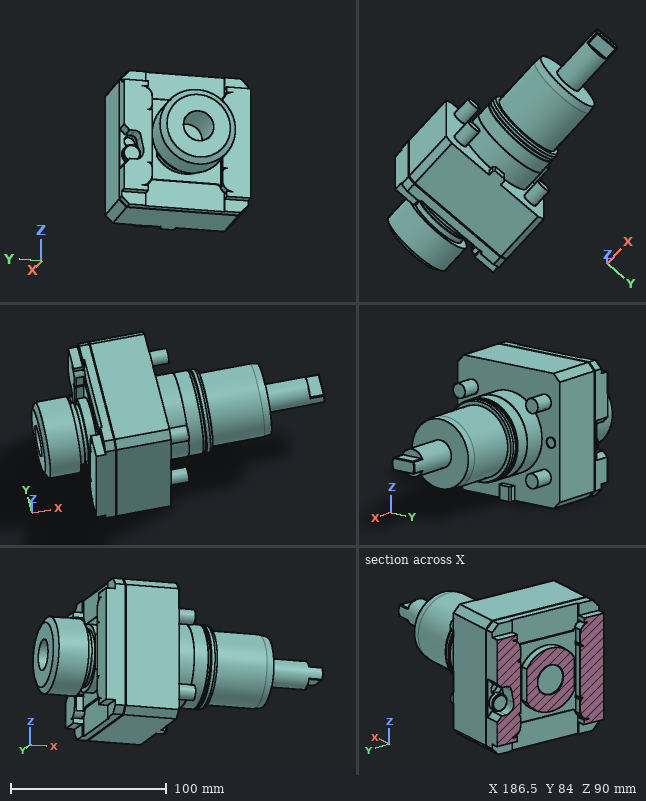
import cadquery as cq
import math


HOUSING_Y = 84.0
HOUSING_Z = 90.0
HOUSING_CHAMFER = 5.0
HOUSING_FRONT = -43.1
SEAM_X = -36.4
SEAM_WIDTH = 0.5
SEAM_DEPTH = 0.15

CHANNEL_HALF_WIDTH = 26.1
CHANNEL_FLOOR = -42.0
PAD_HALF_HEIGHT = 27.1
PAD_FLARE_START = 21.6
PAD_FLARE_RISE = 1.1

RAIL_FRONT = -49.2
RAIL_HALF_HEIGHT = 36.8
RAIL_INNER_Y = 23.3
RAIL_WALL_Y = 23.7
RAIL_EDGE_THICKNESS = 1.3
LIP_HALF_HEIGHT = 33.4
LIP_RADIUS = 6.8
LIP_SPLIT_Z = 17.8
LIP_SPLIT_RADIUS = 2.9

RECESS_FLOOR = -38.0
COOLANT_Y = 35.0
NOZZLE_Z = -1.3
NOZZLE_RADIUS = 4.05
NOZZLE_DEPTH = 5.0
SCREW_Z = -10.3
SCREW_RADIUS = 5.8
SCREW_HEIGHT = 4.0
SCREW_CHAMFER = 0.6
RECESS_CLEARANCE = 0.2
RECESS_FLARE_Y = 38.4
PORT_RADIUS = 3.5
PORT_PROUD = 0.5

NUT_FRONT = -78.1
NUT_BACK = -55.4
NUT_RADIUS = 25.0
NUT_FACE_RADIUS = 21.0
NUT_CHAMFER_LENGTH = 2.5
BORE_RADIUS = 10.0
BORE_DEPTH = 30.0
COLLAR_RADIUS = 20.0
COLLAR_BACK = -51.6
NECK_RADIUS = 18.75
RING_RADIUS = 22.0

SPIGOT_RADIUS = 27.5
SPIGOT_LENGTH = 15.1
FLANGE_RADIUS = 27.35
FLANGE_END = 30.9
FLANGE_CHAMFER_LENGTH = 1.7
FLANGE_CHAMFER_HEIGHT = 0.7
SEAL_START = 24.7
SEAL_RADIUS = 0.85
SEAL_GAP = 0.5
GROOVE_RADIUS = 26.0
SHANK_RADIUS = 24.0
SHANK_END = 70.4
SHANK_TAPER_LENGTH = 5.1
SHANK_TIP_RADIUS = 23.2
SHAFT_RADIUS = 9.25
TOTAL_LENGTH = 186.46
SHAFT_END = NUT_FRONT + TOTAL_LENGTH
TANG_START = 99.0
TANG_THICKNESS = 8.5
TANG_CHAMFER = 0.5

BOLT_RADIUS = 5.0
BOLT_LENGTH = 13.5
BOLT_Y = 30.0
BOLT_Z = 25.0
KEY_LENGTH = 4.6
KEY_CHAMFER = 1.3
KEY_SIZE = 10.0

OVERLAP = 1.0


def plane_at(x):
    """YZ plane at x: local coordinates are (y, z) and the normal is +X."""
    return cq.Workplane("YZ", origin=(x, 0, 0))


def block(x0, x1, y0, y1, z0, z1):
    return cq.Workplane("XY").box(x1 - x0, y1 - y0, z1 - z0, centered=False).translate((x0, y0, z0))


def rod(x0, x1, radius, y=0.0, z=0.0):
    return plane_at(x0).center(y, z).circle(radius).extrude(x1 - x0)


def chamfered_prism(x0, x1, inset=0.0):
    """Housing section between x0 and x1, set in all round by inset."""
    half_y = HOUSING_Y / 2 - inset
    half_z = HOUSING_Z / 2 - inset
    return block(x0, x1, -half_y, half_y, -half_z, half_z).edges("|X").chamfer(HOUSING_CHAMFER)


def housing():
    """Cover plate and main body, parted by a fine seam groove."""
    cover = chamfered_prism(HOUSING_FRONT, SEAM_X)
    seam_core = chamfered_prism(SEAM_X, SEAM_X + SEAM_WIDTH, SEAM_DEPTH)
    main_body = chamfered_prism(SEAM_X + SEAM_WIDTH, 0)
    return cover.union(seam_core).union(main_body)


def channel():
    """Shallow channel on the front face, leaving the flared pad standing."""
    groove = block(
        HOUSING_FRONT, CHANNEL_FLOOR, -CHANNEL_HALF_WIDTH, CHANNEL_HALF_WIDTH, -HOUSING_Z / 2, HOUSING_Z / 2
    )
    flare_top = PAD_HALF_HEIGHT + PAD_FLARE_RISE
    half_pad = (
        plane_at(HOUSING_FRONT)
        .moveTo(-RAIL_WALL_Y, 0)
        .lineTo(-RAIL_WALL_Y, flare_top)
        .lineTo(-PAD_FLARE_START, PAD_HALF_HEIGHT)
        .lineTo(PAD_FLARE_START, PAD_HALF_HEIGHT)
        .lineTo(RAIL_WALL_Y, flare_top)
        .lineTo(RAIL_WALL_Y, 0)
        .close()
        .extrude(CHANNEL_FLOOR - HOUSING_FRONT)
    )
    return groove.cut(half_pad).cut(half_pad.mirror("XY"))


def lip(z0, z1):
    """Part of the +Y rail that overhangs the channel."""
    return block(RAIL_FRONT, CHANNEL_FLOOR, RAIL_INNER_Y, HOUSING_Y / 2, z0, z1)


def rail():
    """Rail on the +Y side, with rounded lips facing the channel."""
    body = block(
        RAIL_FRONT, CHANNEL_FLOOR, CHANNEL_HALF_WIDTH, HOUSING_Y / 2, -RAIL_HALF_HEIGHT, RAIL_HALF_HEIGHT
    )
    body = body.cut(lip(-LIP_HALF_HEIGHT, LIP_HALF_HEIGHT))
    upper_lip = lip(LIP_SPLIT_Z, LIP_HALF_HEIGHT)
    upper_lip = upper_lip.edges("|X and <Y and >Z").fillet(LIP_RADIUS)
    upper_lip = upper_lip.edges("|X and <Y and <Z").fillet(LIP_SPLIT_RADIUS)
    body = body.union(upper_lip).union(upper_lip.mirror("XY"))
    body = body.union(lip(-LIP_SPLIT_Z, LIP_SPLIT_Z))
    relief = block(
        RAIL_FRONT + RAIL_EDGE_THICKNESS,
        CHANNEL_FLOOR,
        RAIL_INNER_Y,
        RAIL_WALL_Y,
        -LIP_HALF_HEIGHT,
        LIP_HALF_HEIGHT,
    )
    return body.cut(relief)


def coolant_recess():
    """Open-sided pocket round the nozzle and the clamping screw."""
    top_radius = NOZZLE_RADIUS + RECESS_CLEARANCE
    bottom_radius = SCREW_RADIUS + RECESS_CLEARANCE
    top = NOZZLE_Z + top_radius
    bottom = SCREW_Z - bottom_radius
    flare = HOUSING_Y / 2 - RECESS_FLARE_Y
    tilt = math.asin((bottom_radius - top_radius) / (NOZZLE_Z - SCREW_Z))

    def round_end(radius, z, angle):
        return (COOLANT_Y - radius * math.cos(angle), z + radius * math.sin(angle))

    return (
        plane_at(RAIL_FRONT)
        .moveTo(HOUSING_Y / 2, top + flare)
        .lineTo(RECESS_FLARE_Y, top)
        .lineTo(COOLANT_Y, top)
        .threePointArc(round_end(top_radius, NOZZLE_Z, math.pi / 4), round_end(top_radius, NOZZLE_Z, tilt))
        .lineTo(*round_end(bottom_radius, SCREW_Z, tilt))
        .threePointArc(round_end(bottom_radius, SCREW_Z, -math.pi / 4), (COOLANT_Y, bottom))
        .lineTo(RECESS_FLARE_Y, bottom)
        .lineTo(HOUSING_Y / 2, bottom - flare)
        .close()
        .extrude(RECESS_FLOOR - RAIL_FRONT)
    )


def add_coolant_parts(body):
    """Recess, nozzle hole and screw head at the front, and the port stub at the back."""
    body = body.cut(coolant_recess())
    body = body.cut(rod(RECESS_FLOOR, RECESS_FLOOR + NOZZLE_DEPTH, NOZZLE_RADIUS, COOLANT_Y, NOZZLE_Z))
    screw = rod(RECESS_FLOOR - SCREW_HEIGHT, RECESS_FLOOR + OVERLAP, SCREW_RADIUS, COOLANT_Y, SCREW_Z)
    body = body.union(screw.faces("<X").chamfer(SCREW_CHAMFER))
    return body.union(rod(-OVERLAP, PORT_PROUD, PORT_RADIUS, COOLANT_Y, NOZZLE_Z))


def nose():
    """Collet nut, collar, neck and the flatted ring behind them."""
    profile = (
        cq.Workplane("XY")
        .moveTo(NUT_FRONT, 0)
        .lineTo(NUT_FRONT, NUT_FACE_RADIUS)
        .lineTo(NUT_FRONT + NUT_CHAMFER_LENGTH, NUT_RADIUS)
        .lineTo(NUT_BACK, NUT_RADIUS)
        .lineTo(NUT_BACK, COLLAR_RADIUS)
        .lineTo(COLLAR_BACK, COLLAR_RADIUS)
        .lineTo(COLLAR_BACK, NECK_RADIUS)
        .lineTo(HOUSING_FRONT + OVERLAP, NECK_RADIUS)
        .lineTo(HOUSING_FRONT + OVERLAP, 0)
        .close()
    )
    turned = profile.revolve(360, (0, 0, 0), (1, 0, 0))
    ring = rod(RAIL_FRONT, HOUSING_FRONT + OVERLAP, RING_RADIUS)
    flats = block(
        RAIL_FRONT, HOUSING_FRONT + OVERLAP, -NECK_RADIUS, NECK_RADIUS, -RING_RADIUS, RING_RADIUS
    )
    bore = rod(NUT_FRONT, NUT_FRONT + BORE_DEPTH, BORE_RADIUS)
    return turned.union(ring.intersect(flats)).cut(bore)


def spigot():
    """Locating spigot, sealed flange and tapered shank."""
    seal_end = SEAL_START + 2 * SEAL_RADIUS
    seal_base = FLANGE_RADIUS - SEAL_RADIUS
    profile = (
        cq.Workplane("XY")
        .moveTo(-OVERLAP, 0)
        .lineTo(-OVERLAP, SPIGOT_RADIUS)
        .lineTo(SPIGOT_LENGTH, SPIGOT_RADIUS)
        .lineTo(SPIGOT_LENGTH, FLANGE_RADIUS)
        .lineTo(SEAL_START, FLANGE_RADIUS)
        .lineTo(SEAL_START, seal_base)
        .threePointArc((SEAL_START + SEAL_RADIUS, FLANGE_RADIUS), (seal_end, seal_base))
        .lineTo(seal_end, GROOVE_RADIUS)
        .lineTo(seal_end + SEAL_GAP, GROOVE_RADIUS)
        .lineTo(seal_end + SEAL_GAP, FLANGE_RADIUS)
        .lineTo(FLANGE_END - FLANGE_CHAMFER_LENGTH, FLANGE_RADIUS)
        .lineTo(FLANGE_END, FLANGE_RADIUS - FLANGE_CHAMFER_HEIGHT)
        .lineTo(FLANGE_END, SHANK_RADIUS)
        .lineTo(SHANK_END - SHANK_TAPER_LENGTH, SHANK_RADIUS)
        .lineTo(SHANK_END, SHANK_TIP_RADIUS)
        .lineTo(SHANK_END, 0)
        .close()
    )
    return profile.revolve(360, (0, 0, 0), (1, 0, 0))


def drive_shaft():
    """Round shaft ending in a two-flat driving tang."""
    shaft = rod(SHANK_END - OVERLAP, TANG_START, SHAFT_RADIUS)
    flats = block(
        TANG_START - OVERLAP, SHAFT_END, -SHAFT_RADIUS, SHAFT_RADIUS, -TANG_THICKNESS / 2, TANG_THICKNESS / 2
    )
    tang = rod(TANG_START - OVERLAP, SHAFT_END, SHAFT_RADIUS).intersect(flats)
    tang = tang.edges(">X or (|X and (>Z or <Z))").chamfer(TANG_CHAMFER)
    return shaft.union(tang)


def bolts():
    """Four bolts standing out of the mounting face."""
    return (
        plane_at(-OVERLAP)
        .rect(2 * BOLT_Y, 2 * BOLT_Z, forConstruction=True)
        .vertices()
        .circle(BOLT_RADIUS)
        .extrude(OVERLAP + BOLT_LENGTH)
    )


def key():
    """Locating key flush with the bottom of the housing."""
    bottom = -HOUSING_Z / 2
    body = block(-OVERLAP, KEY_LENGTH, -KEY_SIZE / 2, KEY_SIZE / 2, bottom, bottom + KEY_SIZE)
    return body.faces(">X").edges("|Z").chamfer(KEY_CHAMFER)


plus_y_rail = rail()
holder = housing().cut(channel())
holder = holder.union(plus_y_rail).union(plus_y_rail.mirror("XZ"))
holder = add_coolant_parts(holder)
for feature in (nose(), spigot(), drive_shaft(), bolts(), key()):
    holder = holder.union(feature)

result = holder